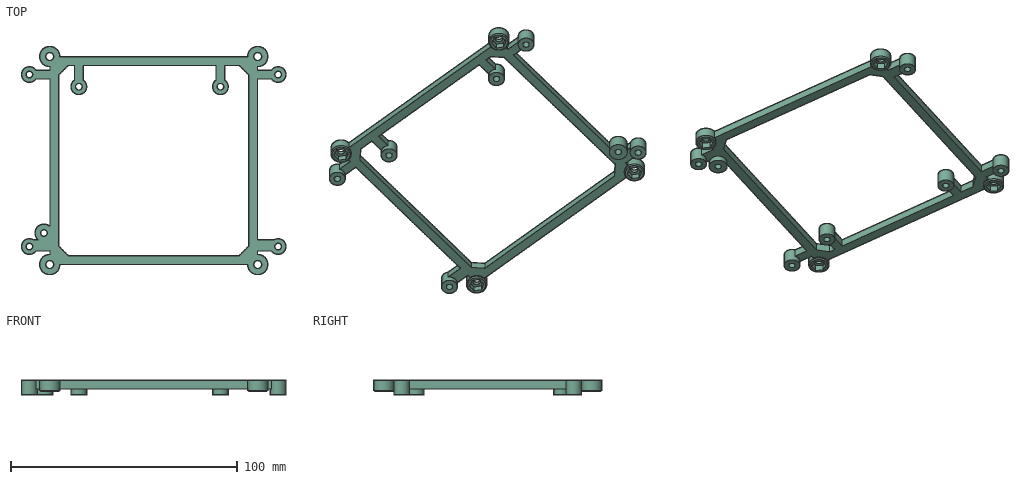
import cadquery as cq
import math

frame_half = 46.0
bar_width = 4.0
frame_thickness = 4.0
corner_web = 4.2
inner_half = frame_half - bar_width

lug_diameter = 9.0
lug_bottom_diameter = 8.0
lug_height = 5.0
lug_chamfer = (lug_diameter - lug_bottom_diameter) / 2
lug_hole_diameter = 3.4
nut_across_flats = 5.5
nut_floor_depth = 2.0

boss_height = 6.5
boss_hole_diameter = 2.8
boss_diameter = 7.0
side_boss_diameter = 8.0
arm_width = 4.0
front_arm_width = 5.0

overall_width = 117.0
outer_boss_x = (overall_width - boss_diameter) / 2
outer_boss_y = 38.0
inner_boss_y = 32.6
inner_boss_xs = (-33.1, 29.5)
side_boss_centre = (-48.5, -32.0)

lug_centres = [(sx * frame_half, sy * frame_half) for sx in (-1, 1) for sy in (-1, 1)]
outer_boss_centres = [(sx * outer_boss_x, sy * outer_boss_y) for sx in (-1, 1) for sy in (-1, 1)]
inner_boss_centres = [(x, inner_boss_y) for x in inner_boss_xs]


def hanging_block(x_min, x_max, y_min, y_max):
    """Rectangular bar of frame thickness below the top face."""
    size_x = x_max - x_min
    size_y = y_max - y_min
    block = cq.Workplane("XY").box(size_x, size_y, frame_thickness, centered=False)
    return block.translate((x_min, y_min, -frame_thickness))


def hanging_cylinders(centres, diameter, height):
    """Round posts from the top face down to the given depth."""
    return cq.Workplane("XY").pushPoints(centres).circle(diameter / 2).extrude(-height)


def make_frame():
    """Square ring whose window corners are cut off by triangular webs."""
    window_side = 2 * inner_half
    outer = hanging_block(-frame_half, frame_half, -frame_half, frame_half)
    window = (
        cq.Workplane("XY")
        .rect(window_side, window_side)
        .extrude(-frame_thickness)
        .edges("|Z")
        .chamfer(corner_web)
    )
    return outer.cut(window)


def make_arms():
    """Straight arms from the frame bars to the boss centres."""
    inner_edge = outer_boss_y - arm_width / 2
    outer_edge = inner_edge + arm_width
    arms = cq.Workplane("XY")
    for x_min, x_max in ((-outer_boss_x, -inner_half), (inner_half, outer_boss_x)):
        arms = arms.add(hanging_block(x_min, x_max, inner_edge, outer_edge))
        arms = arms.add(hanging_block(x_min, x_max, -outer_edge, front_arm_width - outer_edge))
    for x in inner_boss_xs:
        arms = arms.add(hanging_block(x - arm_width / 2, x + arm_width / 2, inner_boss_y, frame_half))
    return arms.combine()


def make_lugs():
    """Corner lugs with a bevelled lower rim."""
    lugs = hanging_cylinders(lug_centres, lug_diameter, lug_height)
    return lugs.faces("<Z").edges().chamfer(lug_chamfer)


def make_nut_pockets():
    """Hexagonal pockets, corners pointing along Y, open at the underside of the lugs."""
    hexagon = cq.Sketch().regularPolygon(nut_across_flats / math.sqrt(3), 6)
    return (
        cq.Workplane("XY")
        .workplane(offset=-lug_height)
        .pushPoints(lug_centres)
        .placeSketch(hexagon)
        .extrude(lug_height - nut_floor_depth)
    )


boss_centres = outer_boss_centres + inner_boss_centres
result = (
    make_frame()
    .union(make_arms())
    .union(make_lugs())
    .union(hanging_cylinders(boss_centres, boss_diameter, boss_height))
    .union(hanging_cylinders([side_boss_centre], side_boss_diameter, boss_height))
    .cut(hanging_cylinders(boss_centres + [side_boss_centre], boss_hole_diameter, boss_height))
    .cut(hanging_cylinders(lug_centres, lug_hole_diameter, lug_height))
    .cut(make_nut_pockets())
)